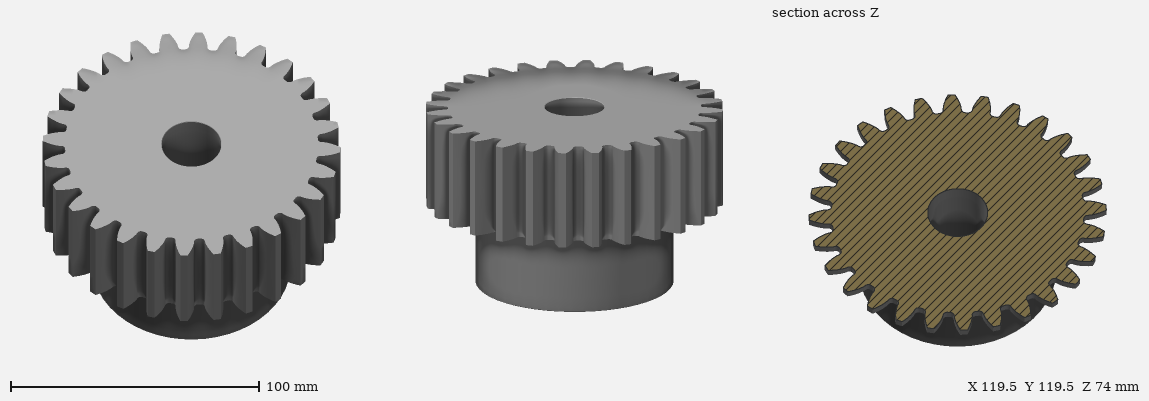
import cadquery as cq
import math

MODULE = 4.0
TEETH = 28
PRESSURE_ANGLE = math.radians(20)
DEDENDUM_FACTOR = 1.25
ROOT_FILLET_FACTOR = 0.4
FLANK_POINTS = 12

FACE_WIDTH = 40.0
HUB_DIAMETER = 80.0
HUB_LENGTH = 34.0
BORE_DIAMETER = 24.0
EDGE_CHAMFER = 0.2

PITCH_RADIUS = MODULE * TEETH / 2
TIP_RADIUS = PITCH_RADIUS + MODULE
ROOT_RADIUS = PITCH_RADIUS - DEDENDUM_FACTOR * MODULE
BASE_RADIUS = PITCH_RADIUS * math.cos(PRESSURE_ANGLE)
ROOT_FILLET = ROOT_FILLET_FACTOR * MODULE
TOOTH_PITCH = 2 * math.pi / TEETH
TOTAL_LENGTH = HUB_LENGTH + FACE_WIDTH


def polar(radius, angle):
    return (radius * math.cos(angle), radius * math.sin(angle))


def involute_angle(pressure_angle):
    return math.tan(pressure_angle) - pressure_angle


BASE_HALF_ANGLE = TOOTH_PITCH / 4 + involute_angle(PRESSURE_ANGLE)


def flank_half_angle(radius):
    """Half of the angle a tooth spans at a radius outside the base circle."""
    return BASE_HALF_ANGLE - involute_angle(math.acos(BASE_RADIUS / radius))


def flank_radii():
    """Radii from base to tip, evenly spaced in involute roll angle."""
    tip_roll = math.sqrt((TIP_RADIUS / BASE_RADIUS) ** 2 - 1)
    rolls = [tip_roll * i / (FLANK_POINTS - 1) for i in range(FLANK_POINTS)]
    return [BASE_RADIUS * math.sqrt(1 + roll**2) for roll in rolls]


FILLET_CENTRE_RADIUS = ROOT_RADIUS + ROOT_FILLET
FILLET_ANGLE = math.asin(ROOT_FILLET / FILLET_CENTRE_RADIUS)
FILLET_END_RADIUS = FILLET_CENTRE_RADIUS * math.cos(FILLET_ANGLE)
ROOT_HALF_ANGLE = BASE_HALF_ANGLE + FILLET_ANGLE


def fillet_middle(tooth_angle, side):
    """Middle of the root fillet on the clockwise (-1) or anticlockwise (+1) side of a tooth."""
    centre_angle = tooth_angle + side * ROOT_HALF_ANGLE
    centre_x, centre_y = polar(FILLET_CENTRE_RADIUS, centre_angle)
    direction = centre_angle + math.pi + side * (math.pi / 2 - FILLET_ANGLE) / 2
    offset_x, offset_y = polar(ROOT_FILLET, direction)
    return (centre_x + offset_x, centre_y + offset_y)


def add_tooth(outline, angle):
    """Continue the outline over the tooth at this angle and along the gap that follows it."""
    radii = flank_radii()
    rising = [polar(radius, angle - flank_half_angle(radius)) for radius in radii]
    falling = [polar(radius, angle + flank_half_angle(radius)) for radius in reversed(radii)]
    next_tooth = angle + TOOTH_PITCH
    return (
        outline.threePointArc(fillet_middle(angle, -1), polar(FILLET_END_RADIUS, angle - BASE_HALF_ANGLE))
        .lineTo(*rising[0])
        .spline(rising[1:], includeCurrent=True)
        .threePointArc(polar(TIP_RADIUS, angle), falling[0])
        .spline(falling[1:], includeCurrent=True)
        .lineTo(*polar(FILLET_END_RADIUS, angle + BASE_HALF_ANGLE))
        .threePointArc(fillet_middle(angle, 1), polar(ROOT_RADIUS, angle + ROOT_HALF_ANGLE))
        .threePointArc(
            polar(ROOT_RADIUS, angle + TOOTH_PITCH / 2),
            polar(ROOT_RADIUS, next_tooth - ROOT_HALF_ANGLE),
        )
    )


def make_toothed_rim():
    first_tooth = TOOTH_PITCH / 2
    start = polar(ROOT_RADIUS, first_tooth - ROOT_HALF_ANGLE)
    outline = cq.Workplane("XY").workplane(offset=HUB_LENGTH).moveTo(*start)
    for index in range(TEETH):
        outline = add_tooth(outline, first_tooth + index * TOOTH_PITCH)
    return outline.close().extrude(FACE_WIDTH)


def make_hub():
    hub = cq.Workplane("XY").circle(HUB_DIAMETER / 2).extrude(HUB_LENGTH)
    return hub.faces("<Z").chamfer(EDGE_CHAMFER)


def make_bore_cutter():
    """Through bore, widened by a chamfer at both ends."""
    bore_radius = BORE_DIAMETER / 2
    mouth_radius = bore_radius + EDGE_CHAMFER
    profile = [
        (0, 0),
        (mouth_radius, 0),
        (bore_radius, EDGE_CHAMFER),
        (bore_radius, TOTAL_LENGTH - EDGE_CHAMFER),
        (mouth_radius, TOTAL_LENGTH),
        (0, TOTAL_LENGTH),
    ]
    return cq.Workplane("XZ").polyline(profile).close().revolve(360, (0, 0), (0, 1))


result = make_toothed_rim().union(make_hub()).cut(make_bore_cutter())